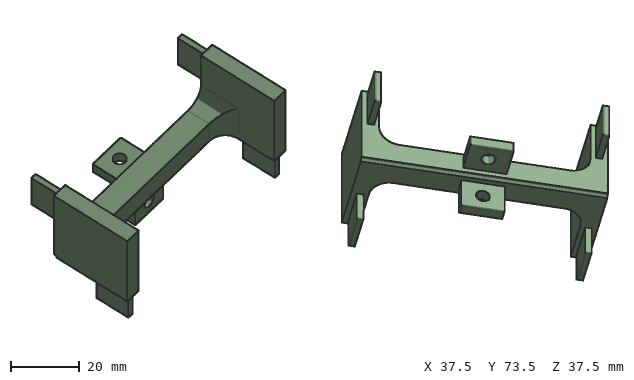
import cadquery as cq


body_length = 73.5
plate_side = 27.5
plate_thickness = 5.25
bar_side = 8.0
inner_radius = 6.0
groove_radius = 1.0

tab_length = 10.0
tab_end_radius = 0.3
plate_tab_width = 12.0
plate_tab_thickness = 2.0
plate_tab_end_gap = 1.0
plate_tab_side_gap = 1.75
bar_tab_width = 13.0
bar_tab_thickness = 3.5
bar_tab_gap = 2.6
bar_tab_hole_diameter = 4.1

opening_width = body_length - 2 * plate_thickness
opening_depth = plate_side - bar_side
plate_tab_y = body_length / 2 - plate_tab_side_gap - plate_tab_thickness / 2
plate_tab_z = plate_side - plate_tab_end_gap - plate_tab_width / 2
bar_tab_z = bar_tab_gap + bar_tab_thickness / 2


def swap_x_and_z(shape):
    """Exchange X and Z of a shape that is symmetric about the Y = 0 plane."""
    quarter_turn = shape.rotate((0, 0, 0), (0, 1, 0), 90)
    return quarter_turn.mirror("XY")


def make_opening():
    """Cutter running along X that leaves the bar below and a plate at each end."""
    opening = cq.Workplane("XY").box(
        plate_side, opening_width, 2 * opening_depth, centered=(False, True, False)
    )
    return opening.edges("|X").fillet(inner_radius).translate((0, 0, bar_side))


def make_body():
    """Block with an opening along X and another along Z, and the corner groove."""
    block = cq.Workplane("XY").box(
        plate_side, body_length, plate_side, centered=(False, True, False)
    )
    opening = make_opening()
    groove = cq.Workplane("XZ").circle(groove_radius).extrude(body_length / 2, both=True)
    return block.cut(opening).cut(swap_x_and_z(opening)).cut(groove)


def make_tab(size_y, size_z, center_y, center_z):
    """Tab standing out of the -X face, rounded around its free end."""
    tab = cq.Workplane("XY").box(tab_length, size_y, size_z)
    tab = tab.faces("<X").edges().fillet(tab_end_radius)
    return tab.translate((-tab_length / 2, center_y, center_z))


def make_bar_tab():
    """Flat tab in the middle of the bar with a hole through its thickness."""
    tab = make_tab(bar_tab_width, bar_tab_thickness, 0, bar_tab_z)
    hole = (
        cq.Workplane("XY")
        .center(-tab_length / 2, 0)
        .circle(bar_tab_hole_diameter / 2)
        .extrude(bar_side)
    )
    return tab.cut(hole)


def make_tab_set():
    """The three tabs on the -X face."""
    tabs = make_bar_tab()
    for side in (-1, 1):
        plate_tab = make_tab(plate_tab_thickness, plate_tab_width, side * plate_tab_y, plate_tab_z)
        tabs = tabs.add(plate_tab)
    return tabs.combine()


tab_set = make_tab_set()
result = make_body().union(tab_set).union(swap_x_and_z(tab_set))